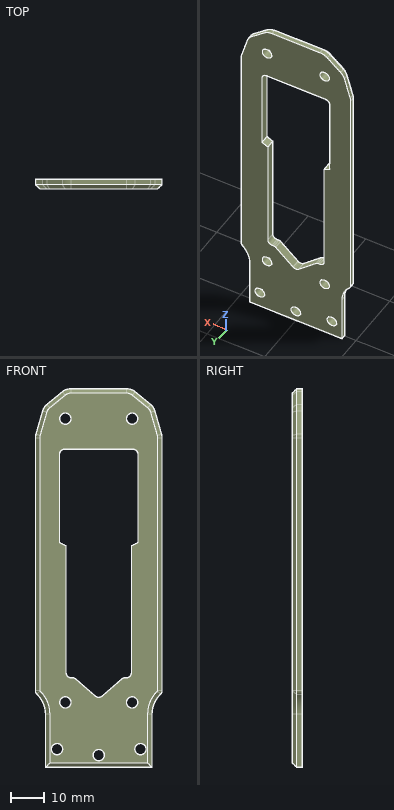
import cadquery as cq
import math

WIDTH = 38.01
HEIGHT = 113.49
THICKNESS = 3.0
CHAMFER = 1.35

HALF_WIDTH = WIDTH / 2
TOP_EDGE_HALF = 9.8
SHOULDER_X = 16.5
SHOULDER_DROP = 5.5
SIDE_TOP_DROP = 14.2
SHOULDER_RADIUS = 4.0

NECK_HALF = 16.0
NECK_TOP = 16.0
NECK_ARC_RADIUS = 8.2
NECK_CORNER_RADIUS = 1.5

WINDOW_TOP = HEIGHT - 18.2
WINDOW_WIDE_HALF = 11.75
WINDOW_NARROW_HALF = 9.75
WINDOW_STEP_TOP = HEIGHT - 46.1
WINDOW_STEP_HEIGHT = 1.0
WINDOW_FLOOR = HEIGHT - 86.6
WINDOW_CORNER_RADIUS = 1.5
V_HALF = 7.3
V_ANGLE = 41.0
V_TIP_RADIUS = 1.5
V_SHOULDER_RADIUS = 1.0

HOLE_DIAMETER = 3.3
MOUNT_HOLE_X = 10.0
MOUNT_HOLE_HEIGHTS = (HEIGHT - 94.0, HEIGHT - 9.0)
NECK_HOLE_X = 12.5
NECK_HOLE_HEIGHT = 5.5
CENTRE_HOLE_HEIGHT = 3.7


def back_plane():
    """XZ sketch plane on the back face; extrusion runs toward the front (-Y)."""
    return cq.Workplane("XZ", origin=(0, THICKNESS, 0))


def mirrored(right_half):
    """Close an outline from its right half by appending the mirrored left half."""
    return right_half + [(-x, z) for x, z in reversed(right_half)]


def fillet_upright_edges(body, points, radius):
    """Round the edges running along Y that pass through the given (X, Z) points."""
    reach = 0.01
    for x, z in points:
        box = cq.selectors.BoxSelector(
            (x - reach, -reach, z - reach),
            (x + reach, THICKNESS + reach, z + reach),
        )
        body = body.edges(box).fillet(radius)
    return body


def make_plate():
    arc_centre_x = NECK_HALF + NECK_ARC_RADIUS
    arc_end_angle = math.acos((arc_centre_x - HALF_WIDTH) / NECK_ARC_RADIUS)
    side_bottom = NECK_TOP + NECK_ARC_RADIUS * math.sin(arc_end_angle)
    arc_mid_x = arc_centre_x - NECK_ARC_RADIUS * math.cos(arc_end_angle / 2)
    arc_mid_z = NECK_TOP + NECK_ARC_RADIUS * math.sin(arc_end_angle / 2)

    plate = (
        back_plane()
        .moveTo(-NECK_HALF, 0)
        .lineTo(NECK_HALF, 0)
        .lineTo(NECK_HALF, NECK_TOP)
        .threePointArc((arc_mid_x, arc_mid_z), (HALF_WIDTH, side_bottom))
        .lineTo(HALF_WIDTH, HEIGHT - SIDE_TOP_DROP)
        .lineTo(SHOULDER_X, HEIGHT - SHOULDER_DROP)
        .lineTo(TOP_EDGE_HALF, HEIGHT)
        .lineTo(-TOP_EDGE_HALF, HEIGHT)
        .lineTo(-SHOULDER_X, HEIGHT - SHOULDER_DROP)
        .lineTo(-HALF_WIDTH, HEIGHT - SIDE_TOP_DROP)
        .lineTo(-HALF_WIDTH, side_bottom)
        .threePointArc((-arc_mid_x, arc_mid_z), (-NECK_HALF, NECK_TOP))
        .close()
        .extrude(THICKNESS)
    )
    shoulder_corners = mirrored([
        (HALF_WIDTH, HEIGHT - SIDE_TOP_DROP),
        (SHOULDER_X, HEIGHT - SHOULDER_DROP),
        (TOP_EDGE_HALF, HEIGHT),
    ])
    plate = fillet_upright_edges(plate, shoulder_corners, SHOULDER_RADIUS)
    neck_corners = mirrored([(HALF_WIDTH, side_bottom)])
    plate = fillet_upright_edges(plate, neck_corners, NECK_CORNER_RADIUS)
    return plate.faces("<Y").edges().chamfer(CHAMFER)


def make_window():
    v_tip = (0, WINDOW_FLOOR - V_HALF * math.tan(math.radians(V_ANGLE)))
    v_shoulder = (V_HALF, WINDOW_FLOOR)
    top_corner = (WINDOW_WIDE_HALF, WINDOW_TOP)
    floor_corner = (WINDOW_NARROW_HALF, WINDOW_FLOOR)
    right_half = [
        v_shoulder,
        floor_corner,
        (WINDOW_NARROW_HALF, WINDOW_STEP_TOP - WINDOW_STEP_HEIGHT),
        (WINDOW_WIDE_HALF, WINDOW_STEP_TOP),
        top_corner,
    ]
    window = back_plane().polyline(mirrored(right_half) + [v_tip]).close().extrude(THICKNESS)
    corners = mirrored([floor_corner, top_corner])
    window = fillet_upright_edges(window, corners, WINDOW_CORNER_RADIUS)
    window = fillet_upright_edges(window, mirrored([v_shoulder]), V_SHOULDER_RADIUS)
    return fillet_upright_edges(window, [v_tip], V_TIP_RADIUS)


def make_holes():
    centres = [(side * MOUNT_HOLE_X, z) for side in (-1, 1) for z in MOUNT_HOLE_HEIGHTS]
    centres += [(side * NECK_HOLE_X, NECK_HOLE_HEIGHT) for side in (-1, 1)]
    centres.append((0, CENTRE_HOLE_HEIGHT))
    return back_plane().pushPoints(centres).circle(HOLE_DIAMETER / 2).extrude(THICKNESS)


result = make_plate().cut(make_window()).cut(make_holes())